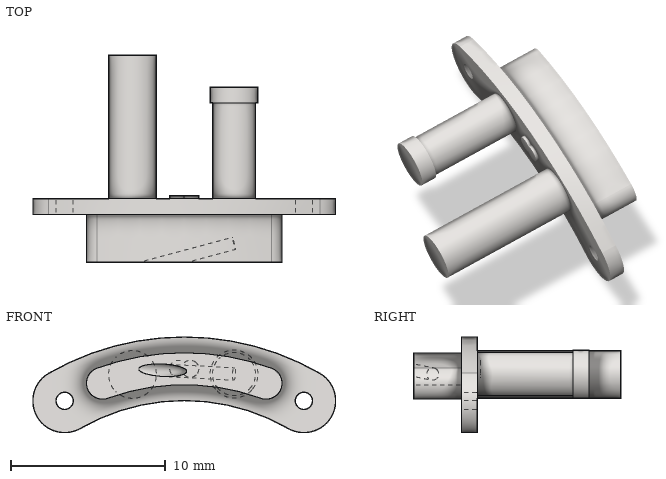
import cadquery as cq
import math

module = 19.57 / 19
plate_thickness = module
plate_width = 4 * module
plate_half_angle = 30
block_depth = 3 * module
block_width = 2 * module
block_half_angle = 20
arc_radius = 15 * module
screw_hole_diameter = 1.1

pin_diameter = 3 * module
long_pin_length = 9 * module
long_pin_angle = -12.5
capped_pin_length = 7 * module
capped_pin_angle = 12
neck_diameter = 2.78
cap_length = module

mark_disc_diameter = 1.1
mark_disc_spacing = 0.78
mark_height = 0.2

bore_diameter = 0.8
bore_mouth_x = -1.39
bore_mouth_z = 1.98
bore_slope = 15

arc_center_z = -arc_radius * math.cos(math.radians(plate_half_angle))
back_y = plate_thickness
overlap = plate_thickness / 2


def arc_point(radius, angle):
    """Point (x, z) on an arc about the common centre; angle in degrees from the crown."""
    a = math.radians(angle)
    return radius * math.sin(a), arc_center_z + radius * math.cos(a)


def sketch_at(start_y):
    """Sketch plane at a given Y, with X and Z of the part as its axes."""
    return cq.Workplane("XZ", origin=(0, start_y, 0))


def curved_bar(width, half_angle, start_y, depth):
    """Round-ended bar bent along the centre-line arc, extruded towards +Y."""
    outer = arc_radius + width / 2
    inner = arc_radius - width / 2
    end_x, end_z = arc_point(arc_radius, half_angle)
    a = math.radians(half_angle)
    right_tip = (end_x + width / 2 * math.cos(a), end_z - width / 2 * math.sin(a))
    left_tip = (-right_tip[0], right_tip[1])
    return (
        sketch_at(start_y)
        .moveTo(*arc_point(outer, -half_angle))
        .threePointArc(arc_point(outer, 0), arc_point(outer, half_angle))
        .threePointArc(right_tip, arc_point(inner, half_angle))
        .threePointArc(arc_point(inner, 0), arc_point(inner, -half_angle))
        .threePointArc(left_tip, arc_point(outer, -half_angle))
        .close()
        .extrude(-depth)
    )


def rod(center, diameter, start_y, end_y):
    """Cylinder along Y between two Y positions."""
    return sketch_at(start_y).center(*center).circle(diameter / 2).extrude(start_y - end_y)


def oblique_bore():
    """Cutter that enters the block face at a grazing angle and ends on the capped pin's axis."""
    pin_x, pin_z = arc_point(arc_radius, capped_pin_angle)
    run_x = pin_x - bore_mouth_x
    run_z = pin_z - bore_mouth_z
    run_y = math.hypot(run_x, run_z) * math.tan(math.radians(bore_slope))
    mouth = cq.Vector(bore_mouth_x, -block_depth, bore_mouth_z)
    run = cq.Vector(run_x, run_y, run_z)
    return cq.Solid.makeCylinder(bore_diameter / 2, 2 * run.Length, mouth - run, run)


plate = curved_bar(plate_width, plate_half_angle, 0, plate_thickness)
for angle in (-plate_half_angle, plate_half_angle):
    hole_center = arc_point(arc_radius, angle)
    plate = plate.cut(rod(hole_center, screw_hole_diameter, 0, plate_thickness))
block = curved_bar(block_width, block_half_angle, -block_depth, block_depth)
body = plate.union(block)

long_pin_center = arc_point(arc_radius, long_pin_angle)
capped_pin_center = arc_point(arc_radius, capped_pin_angle)
cap_end_y = back_y + capped_pin_length
body = body.union(rod(long_pin_center, pin_diameter, back_y - overlap, back_y + long_pin_length))
body = body.union(rod(capped_pin_center, neck_diameter, back_y - overlap, cap_end_y))
body = body.union(rod(capped_pin_center, pin_diameter, cap_end_y - cap_length, cap_end_y))

mark_z = arc_point(arc_radius, 0)[1]
for side in (-1, 1):
    disc_center = (side * mark_disc_spacing / 2, mark_z)
    body = body.union(rod(disc_center, mark_disc_diameter, back_y - overlap, back_y + mark_height))

result = body.cut(oblique_bore())